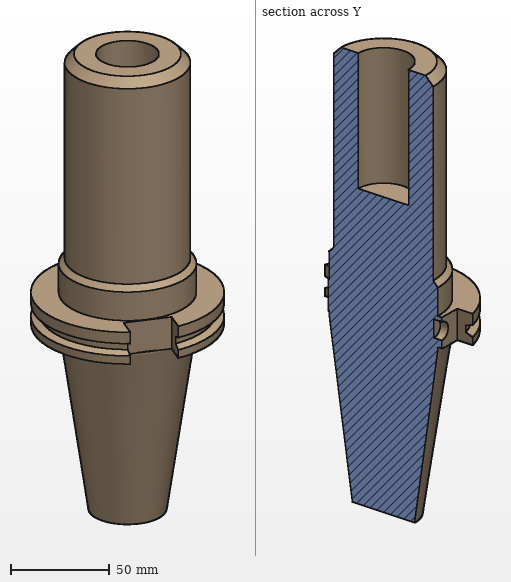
import cadquery as cq

total_height = 254.0
taper_height = 101.5
flange_bottom = 103.0
flange_top = 121.0
collar_height = 19.0

taper_small_diameter = 40.1
collar_diameter = 70.0
body_diameter = 64.0
flange_diameter = 98.3

body_chamfer = 4.8
collar_chamfer = (collar_diameter - body_diameter) / 2

groove_depth = 4.3
upper_land = 6.4
lower_land = 4.5
groove_flank_height = 1.5

slot_width = 25.5
left_slot_floor = 37.5
right_slot_floor = 35.5

slot_hole_diameter = 10.2
slot_hole_height = 113.0
slot_hole_depth = 5.0

bore_diameter = 32.0
bore_depth = 76.2


def make_turned_body():
    """Revolve the half profile of taper, flange, collar and body."""
    collar_radius = collar_diameter / 2
    body_radius = body_diameter / 2
    flange_radius = flange_diameter / 2
    groove_radius = flange_radius - groove_depth
    groove_bottom = flange_bottom + lower_land
    groove_top = flange_top - upper_land
    collar_top = flange_top + collar_height
    profile = [
        (0, 0),
        (taper_small_diameter / 2, 0),
        (collar_radius, taper_height),
        (collar_radius, flange_bottom),
        (flange_radius, flange_bottom),
        (flange_radius, groove_bottom),
        (groove_radius, groove_bottom + groove_flank_height),
        (groove_radius, groove_top - groove_flank_height),
        (flange_radius, groove_top),
        (flange_radius, flange_top),
        (collar_radius, flange_top),
        (collar_radius, collar_top - collar_chamfer),
        (body_radius, collar_top),
        (body_radius, total_height - body_chamfer),
        (body_radius - body_chamfer, total_height),
        (0, total_height),
    ]
    return cq.Workplane("XZ").polyline(profile).close().revolve(360, (0, 0), (0, 1))


def make_drive_slot(side, floor_distance):
    """Box that opens a drive slot; side is -1 for -X and +1 for +X."""
    slot_length = flange_diameter / 2
    center_x = side * (floor_distance + slot_length / 2)
    center_z = (flange_bottom + flange_top) / 2
    slot = cq.Workplane("XY").box(slot_length, slot_width, flange_top - flange_bottom)
    return slot.translate((center_x, 0, center_z))


def make_slot_hole():
    """Cylinder running inward (+X) from the floor of the -X slot."""
    hole = cq.Workplane("YZ", origin=(-left_slot_floor, 0, slot_hole_height))
    return hole.circle(slot_hole_diameter / 2).extrude(slot_hole_depth)


def make_bore():
    """Cylinder running down from the top face."""
    bore = cq.Workplane("XY", origin=(0, 0, total_height))
    return bore.circle(bore_diameter / 2).extrude(-bore_depth)


result = (
    make_turned_body()
    .cut(make_drive_slot(-1, left_slot_floor))
    .cut(make_drive_slot(1, right_slot_floor))
    .cut(make_slot_hole())
    .cut(make_bore())
)